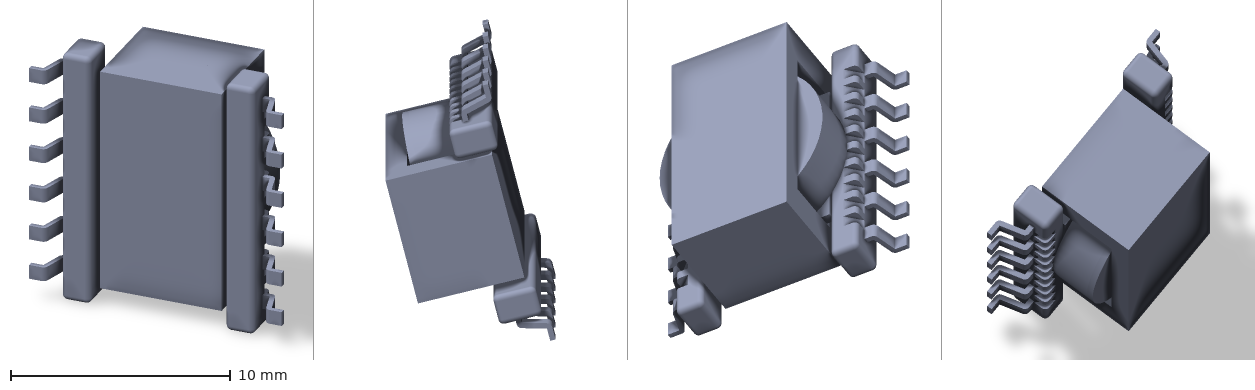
import cadquery as cq
import math


core_width = 6.0
core_length = 11.0
half_depth = 2.5
back_thickness = 1.0
post_radius = 2.12
window_length = 7.88
leg_bore_radius = 4.35
window_depth = half_depth - back_thickness

coil_radius = 4.25
end_clearance = 0.1
tube_wall = 0.3
flange_thickness = 0.32
plate_thickness = 0.5
plate_length = 7.5
spool_end = window_depth - end_clearance
flange_bottom = spool_end - flange_thickness
plate_top = plate_thickness - spool_end
tube_radius = post_radius + tube_wall

rail_width = 1.41
rail_depth = 2.0
rail_length = 12.5
rail_outer_x = 4.75
rail_fillet = 0.25
rail_inner_x = rail_outer_x - rail_width

notch_count = 10
notch_pitch = 1.0
notch_length = 0.6
notch_size = 0.7

pin_count = 6
pin_pitch = 2.0
pin_width = 0.7
pin_thickness = 0.25
pin_tip_x = 6.24
foot_length = 0.6
foot_bottom = -3.14
pin_top = -1.6
pin_lean = math.radians(15)


def cylinder(radius, bottom, top):
    """Round bar about the Y axis from bottom to top."""
    plane = cq.Plane(origin=(0, bottom, 0), xDir=(1, 0, 0), normal=(0, 1, 0))
    return cq.Workplane(plane).circle(radius).extrude(top - bottom)


def block(x_size, z_size, bottom, top):
    """Rectangular block centred on the Y axis from bottom to top."""
    centre = (0, (bottom + top) / 2, 0)
    return cq.Workplane("XY", origin=centre).box(x_size, top - bottom, z_size)


def spaced(count, pitch):
    """Positions of evenly pitched items centred on zero."""
    return [(i - (count - 1) / 2) * pitch for i in range(count)]


def make_core_half():
    """Upper core half: back, two outer legs relieved for the coil, and a round post."""
    window = block(core_width, window_length, 0, window_depth)
    relief = cylinder(leg_bore_radius, 0, window_depth)
    post = cylinder(post_radius, 0, window_depth)
    body = block(core_width, core_length, 0, half_depth)
    return body.cut(window.union(relief)).union(post)


def make_rail():
    """Left rail with rounded edges and wire notches."""
    rail = block(rail_width, rail_length, plate_top - rail_depth, plate_top).edges().fillet(rail_fillet)
    rail = rail.translate((rail_width / 2 - rail_outer_x, 0, 0))
    for z in spaced(notch_count, notch_pitch):
        notch = (
            cq.Workplane("XY", origin=(-rail_outer_x, plate_top, z - notch_length / 2))
            .polyline([(0, 0), (notch_size, 0), (0, -notch_size)])
            .close()
            .extrude(notch_length)
        )
        rail = rail.cut(notch)
    return rail


def make_pin(z):
    """Left gull-wing pin: foot, sloping leg and shoulder, with sharp inner and round outer bends."""
    t = pin_thickness
    cos_lean = math.cos(pin_lean)
    sin_lean = math.sin(pin_lean)
    half_bend = (math.pi / 2 - pin_lean) / 2
    low_x = foot_length - pin_tip_x
    low_y = foot_bottom + t
    high_y = pin_top - t
    high_x = low_x + (t + (high_y - low_y) * sin_lean) / cos_lean
    mid_x = t * math.sin(half_bend)
    mid_y = t * math.cos(half_bend)
    return (
        cq.Workplane("XY", origin=(0, 0, z - pin_width / 2))
        .moveTo(-pin_tip_x, foot_bottom)
        .lineTo(low_x, foot_bottom)
        .threePointArc((low_x + mid_x, low_y - mid_y), (low_x + t * cos_lean, low_y - t * sin_lean))
        .lineTo(high_x, high_y)
        .lineTo(-rail_outer_x, high_y)
        .lineTo(-rail_outer_x, pin_top)
        .lineTo(high_x, pin_top)
        .threePointArc((high_x - mid_x, high_y + mid_y), (high_x - t * cos_lean, high_y + t * sin_lean))
        .lineTo(low_x, low_y)
        .lineTo(-pin_tip_x, low_y)
        .close()
        .extrude(pin_width)
    )


def make_bobbin():
    """Tube, round flange and base plate, carrying a rail with pins on each side."""
    spool = block(2 * rail_inner_x, plate_length, -spool_end, plate_top)
    spool = spool.union(cylinder(tube_radius, -spool_end, spool_end))
    spool = spool.union(cylinder(coil_radius, flange_bottom, spool_end))
    spool = spool.cut(cylinder(post_radius, -spool_end, spool_end))
    side = make_rail()
    for z in spaced(pin_count, pin_pitch):
        side = side.union(make_pin(z))
    return spool.union(side).union(side.mirror("YZ"))


def make_winding():
    """Coil ring filling the spool between the base plate and the flange."""
    ring = cylinder(coil_radius, plate_top, flange_bottom)
    return ring.cut(cylinder(tube_radius, plate_top, flange_bottom))


upper_core = make_core_half()
lower_core = upper_core.mirror("XZ")
bobbin = make_bobbin()
winding = make_winding()

result = cq.Compound.makeCompound([
    upper_core.val(),
    lower_core.val(),
    bobbin.val(),
    winding.val(),
])